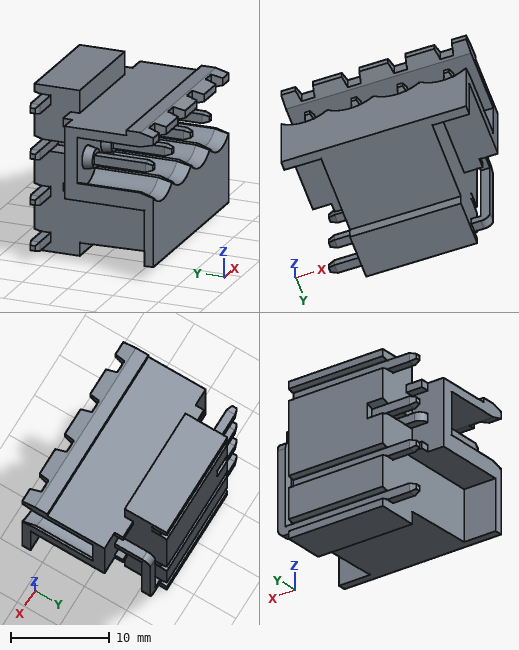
import cadquery as cq
import math


WIDTH = 20.0
DEPTH = 14.8
HEIGHT = 18.08

CONTACTS = 4
PITCH = WIDTH / CONTACTS
PIN_AXIS_Z = 11.55
PIN_SIZE = 1.0
PIN_TIP_SIZE = 0.55
PIN_TIP_LENGTH = 0.72
PIN_FRONT_Y = 1.0
BEND_RADIUS = 0.98
CONTACT_XS = [(i - (CONTACTS - 1) / 2) * PITCH for i in range(CONTACTS)]

LEAD_TIP_X = -WIDTH / 2 + 0.48
LEAD_AXIS_Y = 13.52
LEAD_ROWS = (1, 0, -1, -2)
LEAD_ZS = [PIN_AXIS_Z + PITCH * row for row in LEAD_ROWS]
TOP_LEAD_Z, MIDDLE_LEAD_Z, LOWER_LEAD_Z, BOTTOM_LEAD_Z = LEAD_ZS

BODY_DEPTH = 9.8
BODY_TOP_Z = 15.6
FLOOR_FRONT_Z = 1.65
FLOOR_BACK_Z = 1.45
WING_BOTTOM_Z = 7.68
FRONT_WALL = 1.0
CORE_WIDTH = 12.0
TAB_WIDTH = 16.0
TAB_DEPTH = 1.0
TOP_TAB_HEIGHT = 0.88
LOWER_TAB_HEIGHT = 0.78

SCALLOP_RADIUS = 3.0
CAVITY_BACK_Y = 8.4
CAVITY_TOP_Z = PIN_AXIS_Z + SCALLOP_RADIUS
CAVITY_BOTTOM_DROP = 2.0
CAVITY_BOTTOM_Z = PIN_AXIS_Z - CAVITY_BOTTOM_DROP
MOUTH_DEPTH = 1.48
MOUTH_ANGLE = 15.0
MOUTH_FLARE = MOUTH_DEPTH * math.tan(math.radians(MOUTH_ANGLE))

LIP_DEPTH = 3.0
LIP_RISE = 0.55
NOTCH_DEPTH = 1.2
NOTCH_FRONT_WIDTH = 1.88
NOTCH_BACK_WIDTH = 1.4

COLLAR_BASE_RADIUS = 1.25
COLLAR_TIP_RADIUS = 1.0
COLLAR_LENGTH = 1.05

SLOT_FLARE_SLOPE = 0.3
SLOT_WIDTH = 1.05
SLOT_FLARE_DEPTH = 0.55
MIDDLE_SLOT_WIDTH = 1.2
MIDDLE_SLOT_FLARE_DEPTH = 0.88
MIDDLE_SLOT_LENGTH = 2.0
MIDDLE_SLOT_END_X = -CORE_WIDTH / 2 + MIDDLE_SLOT_LENGTH


def box(x_range, y_range, z_range):
    """Box between two limits on each axis."""
    (x0, x1), (y0, y1), (z0, z1) = x_range, y_range, z_range
    return cq.Workplane("XY").box(x1 - x0, y1 - y0, z1 - z0, centered=False).translate((x0, y0, z0))


def extrude_along_x(points, width):
    """(y, z) outline extruded over a width centred on x = 0."""
    return cq.Workplane("YZ").polyline(points).close().extrude(width / 2, both=True)


def frustum_along_y(x, y, radius, end_radius, length):
    """Cone frustum on a pin axis, running from y towards +Y, or towards -Y for a negative length."""
    side = [(0, 0), (radius, 0), (end_radius, length), (0, length)]
    cone = cq.Workplane("XY").polyline(side).close().revolve(360, (0, 0, 0), (0, 1, 0))
    return cone.translate((x, y, PIN_AXIS_Z))


def square_bar(length):
    """Square bar along +Z from z = 0, with its pyramid tip at z = 0."""
    tip = (
        cq.Workplane("XY")
        .rect(PIN_TIP_SIZE, PIN_TIP_SIZE)
        .workplane(offset=PIN_TIP_LENGTH)
        .rect(PIN_SIZE, PIN_SIZE)
        .loft(ruled=True)
    )
    shank = cq.Workplane("XY").rect(PIN_SIZE, PIN_SIZE).extrude(length - PIN_TIP_LENGTH)
    return tip.union(shank.translate((0, 0, PIN_TIP_LENGTH)))


def contact_pin(x, back_y):
    """Contact pin from its front tip to back_y."""
    bar = square_bar(back_y - PIN_FRONT_Y).rotate((0, 0, 0), (1, 0, 0), -90)
    return bar.translate((x, PIN_FRONT_Y, PIN_AXIS_Z))


def lead(z, end_x):
    """Solder lead from its -X tip to end_x."""
    bar = square_bar(end_x - LEAD_TIP_X).rotate((0, 0, 0), (0, 1, 0), 90)
    return bar.translate((LEAD_TIP_X, LEAD_AXIS_Y, z))


def housing():
    """Core through the full height, full-width wings, front wall, back tabs and latch lip."""
    core_x = (-CORE_WIDTH / 2, CORE_WIDTH / 2)
    full_x = (-WIDTH / 2, WIDTH / 2)
    tab_x = (-TAB_WIDTH / 2, TAB_WIDTH / 2)
    tab_y = (BODY_DEPTH, BODY_DEPTH + TAB_DEPTH)
    floor_wall_z = FLOOR_FRONT_Z + (FLOOR_BACK_Z - FLOOR_FRONT_Z) * FRONT_WALL / BODY_DEPTH

    core = extrude_along_x(
        [(0, FLOOR_FRONT_Z), (BODY_DEPTH, FLOOR_BACK_Z), (BODY_DEPTH, BODY_TOP_Z), (0, BODY_TOP_Z)],
        CORE_WIDTH,
    )
    front_wall = extrude_along_x(
        [(0, FLOOR_FRONT_Z), (FRONT_WALL, floor_wall_z), (FRONT_WALL, BODY_TOP_Z), (0, BODY_TOP_Z)],
        WIDTH,
    )
    wings = box(full_x, (0, BODY_DEPTH), (WING_BOTTOM_Z, BODY_TOP_Z))
    lead_block = box(core_x, (BODY_DEPTH, DEPTH), (0, HEIGHT))
    top_tab = box(tab_x, tab_y, (BODY_TOP_Z - TOP_TAB_HEIGHT, BODY_TOP_Z))
    lower_tab = box(tab_x, tab_y, (WING_BOTTOM_Z, WING_BOTTOM_Z + LOWER_TAB_HEIGHT))
    lip_top_z = BODY_TOP_Z + LIP_RISE
    lip = extrude_along_x(
        [
            (0, BODY_TOP_Z),
            (LIP_DEPTH, BODY_TOP_Z),
            (LIP_DEPTH, lip_top_z),
            (MOUTH_DEPTH, lip_top_z),
            (0, lip_top_z - MOUTH_FLARE),
        ],
        WIDTH,
    )
    body = core
    for block in (front_wall, wings, lead_block, top_tab, lower_tab, lip):
        body = body.union(block)
    return body


def cavity():
    """Mating cavity open at the front and both sides, with a scallop and a flared mouth per contact."""
    space = extrude_along_x(
        [
            (0, CAVITY_BOTTOM_Z - MOUTH_FLARE),
            (MOUTH_DEPTH, CAVITY_BOTTOM_Z),
            (CAVITY_BACK_Y, CAVITY_BOTTOM_Z),
            (CAVITY_BACK_Y, CAVITY_TOP_Z),
            (MOUTH_DEPTH, CAVITY_TOP_Z),
            (0, CAVITY_TOP_Z + MOUTH_FLARE),
        ],
        WIDTH,
    )
    lower_half = box((-WIDTH / 2, WIDTH / 2), (0, CAVITY_BACK_Y), (0, PIN_AXIS_Z))
    for x in CONTACT_XS:
        scallop = frustum_along_y(x, 0, SCALLOP_RADIUS, SCALLOP_RADIUS, CAVITY_BACK_Y)
        mouth = frustum_along_y(x, 0, SCALLOP_RADIUS + MOUTH_FLARE, SCALLOP_RADIUS, MOUTH_DEPTH)
        space = space.union(scallop.union(mouth).intersect(lower_half))
    return space


def lip_notch(x):
    """Tapered notch through the lip in front of one pin."""
    outline = [
        (x - NOTCH_FRONT_WIDTH / 2, 0),
        (x + NOTCH_FRONT_WIDTH / 2, 0),
        (x + NOTCH_BACK_WIDTH / 2, NOTCH_DEPTH),
        (x - NOTCH_BACK_WIDTH / 2, NOTCH_DEPTH),
    ]
    notch = cq.Workplane("XY").polyline(outline).close().extrude(HEIGHT - PIN_AXIS_Z)
    return notch.translate((0, 0, PIN_AXIS_Z))


def lead_slot(z, width, flare_depth, floor_y):
    """Slot across the core, open to the back with a flared entry."""
    half = width / 2
    flared_half = half + flare_depth * SLOT_FLARE_SLOPE
    flare_y = DEPTH - flare_depth
    outline = [
        (floor_y, z - half),
        (flare_y, z - half),
        (DEPTH, z - flared_half),
        (DEPTH, z + flared_half),
        (flare_y, z + half),
        (floor_y, z + half),
    ]
    return extrude_along_x(outline, CORE_WIDTH)


def first_contact():
    """First contact, bent to +X behind the housing so that it enters the core."""
    x = CONTACT_XS[0]
    half = PIN_SIZE / 2
    leg = box(
        (x - half, MIDDLE_SLOT_END_X),
        (BODY_DEPTH, BODY_DEPTH + PIN_SIZE),
        (PIN_AXIS_Z - half, PIN_AXIS_Z + half),
    )
    leg = leg.edges("|Z and <X and >Y").fillet(BEND_RADIUS)
    return contact_pin(x, BODY_DEPTH).union(leg)


def last_contact():
    """Last contact, bent down behind the housing and then to -X as the bottom lead."""
    x = CONTACT_XS[-1]
    half = PIN_SIZE / 2
    leg_front_y = LEAD_AXIS_Y - half
    leg = box(
        (x - half, x + half),
        (leg_front_y, LEAD_AXIS_Y + half),
        (BOTTOM_LEAD_Z - half, PIN_AXIS_Z + half),
    )
    leg = leg.edges("|X and >Y and >Z").fillet(BEND_RADIUS)
    leg = leg.edges("|Y and >X and <Z").fillet(BEND_RADIUS)
    return contact_pin(x, leg_front_y).union(leg).union(lead(BOTTOM_LEAD_Z, x - half))


result = housing().cut(cavity())
for x in CONTACT_XS:
    result = result.cut(lip_notch(x))
    result = result.union(
        frustum_along_y(x, CAVITY_BACK_Y, COLLAR_BASE_RADIUS, COLLAR_TIP_RADIUS, -COLLAR_LENGTH)
    )

for z in (TOP_LEAD_Z, LOWER_LEAD_Z, BOTTOM_LEAD_Z):
    result = result.cut(lead_slot(z, SLOT_WIDTH, SLOT_FLARE_DEPTH, LEAD_AXIS_Y - PIN_SIZE / 2))
middle_slot = lead_slot(MIDDLE_LEAD_Z, MIDDLE_SLOT_WIDTH, MIDDLE_SLOT_FLARE_DEPTH, BODY_DEPTH)
result = result.cut(middle_slot.translate((MIDDLE_SLOT_END_X - CORE_WIDTH / 2, 0, 0)))

result = result.union(first_contact())
for x in CONTACT_XS[1:-1]:
    result = result.union(contact_pin(x, BODY_DEPTH))
for z in (TOP_LEAD_Z, LOWER_LEAD_Z):
    result = result.union(lead(z, CORE_WIDTH / 2))
result = result.union(lead(MIDDLE_LEAD_Z, MIDDLE_SLOT_END_X))
result = result.union(last_contact())